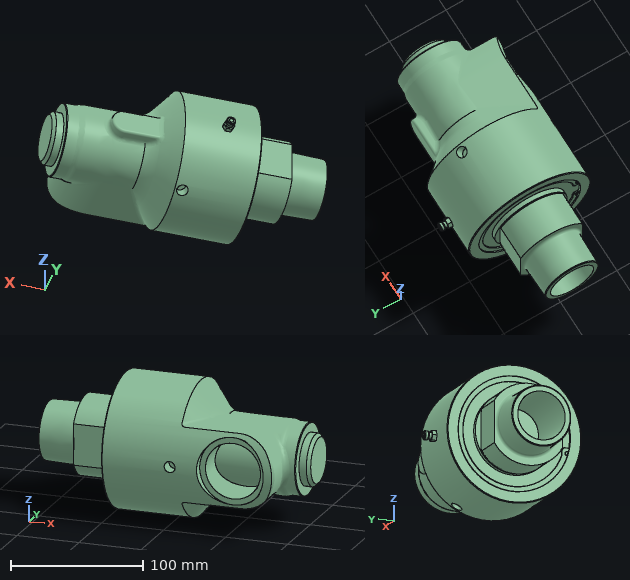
import cadquery as cq

overall_length = 217.5

nipple_end_radius = 23.7
nipple_root_radius = 24.4
nipple_length = 27.5
nipple_chamfer = 0.7
nipple_bore_diameter = 38.0
nipple_bore_depth = 61.0
collar_start = 29.8
collar_diameter = 64.0
collar_flat_width = 54.8
collar_chamfer = 1.0
flange_start = 60.0

drum_start = 61.8
drum_end = 123.0
drum_radius = 54.0
drum_chamfer = 0.7
cone_end = 137.0
cone_end_radius = 37.5
cone_overrun = 17.5
neck_start = 146.8
neck_start_radius = 30.5
neck_end = 194.5
neck_end_radius = 30.0
rim_start = 199.3
rim_end = 209.0
rim_radius = 28.7
rim_chamfer = 0.7
spigot_radius = 20.7
spigot_chamfer = 2.6

face_recess_depth = 2.2
ring_thickness = 1.0
ring_outer_diameter = 90.0
ring_inner_diameter = 81.8
ring_gap_half_width = 7.5
ear_inner_reach = 38.7
ear_half_span = 13.0
ear_corner_radius = 3.0
ear_hole_diameter = 3.0
ear_hole_reach = 42.9
ear_hole_offset = 11.7

block_start = 112.0
block_center = 170.0
block_radius = 30.0
block_fillet = 4.4
block_overrun = 4.4
lip_start = 50.0
lip_taper = 1.0
port_center = 165.3
spotface_diameter = 53.7
spotface_reach = 46.8
port_mouth_diameter = 44.4
port_bore_diameter = 43.3
port_taper_end = 27.8
sleeve_diameter = 53.7

pad_start = 127.3
pad_half_width = 10.2
pad_height = 37.9
pad_top_fillet = 2.2
pad_base_fillet = 4.4

drum_hole_diameter = 8.7
drum_hole_count = 3
drum_hole_center = 116.8
drum_hole_depth = 10.9

grease_center = 89.2
grease_embed = 2.2
grease_hex_diameter = 8.7
grease_hex_height = 3.5
grease_neck_diameter = 5.5
grease_neck_height = 2.2
grease_head_diameter = 7.0
grease_head_flare = 0.9
grease_head_chamfer = 0.7
grease_tip_diameter = 3.3
grease_tip_height = 0.7
grease_top = 64.0

collar_radius = collar_diameter / 2
ring_radius = ring_outer_diameter / 2
face_recess_floor = drum_start + face_recess_depth
ring_start = face_recess_floor - ring_thickness


def cylinder_x(radius, start, end):
    """Cylinder about the main axis between two stations."""
    return cq.Workplane("YZ", origin=(start, 0, 0)).circle(radius).extrude(end - start)


def plane_y(center, start):
    """Work plane at y = start, facing +Y and centered on x = center."""
    return cq.Plane(origin=(center, start, 0), xDir=(1, 0, 0), normal=(0, 1, 0))


def cylinder_y(center, radius, start, end):
    """Cylinder parallel to Y at x = center, from y = start to y = end."""
    return cq.Workplane(plane_y(center, start)).circle(radius).extrude(end - start)


def cone_y(center, start_radius, end_radius, start, end):
    """Frustum parallel to Y at x = center, from y = start to y = end."""
    base = cq.Vector(center, start, 0)
    frustum = cq.Solid.makeCone(start_radius, end_radius, end - start, base, cq.Vector(0, 1, 0))
    return cq.Workplane(obj=frustum)


def bar(x_start, x_end, y_start, y_end, half_height):
    """Rectangular block, symmetric about z = 0."""
    return (
        cq.Workplane("XY")
        .box(x_end - x_start, y_end - y_start, 2 * half_height, centered=(False, False, True))
        .translate((x_start, y_start, 0))
    )


def make_shaft():
    """Nipple, wrench collar with two flats, and flange."""
    root_fillet = collar_start - nipple_length
    shaft = (
        cq.Workplane("XY")
        .moveTo(0, 0)
        .lineTo(0, nipple_end_radius - nipple_chamfer)
        .lineTo(nipple_chamfer, nipple_end_radius)
        .lineTo(nipple_length, nipple_root_radius)
        .radiusArc((collar_start, nipple_root_radius + root_fillet), -root_fillet)
        .lineTo(collar_start, collar_radius)
        .lineTo(flange_start - collar_chamfer, collar_radius)
        .lineTo(flange_start, collar_radius - collar_chamfer)
        .lineTo(flange_start, collar_radius)
        .lineTo(face_recess_floor, collar_radius)
        .lineTo(face_recess_floor, 0)
        .close()
        .revolve(360, (0, 0, 0), (1, 0, 0))
    )
    flat_half_width = collar_flat_width / 2
    for y_start, y_end in ((flat_half_width, collar_radius), (-collar_radius, -flat_half_width)):
        shaft = shaft.cut(bar(collar_start, flange_start, y_start, y_end, collar_radius))
    return shaft


def make_drum():
    """Plain drum with a broken front edge."""
    return cylinder_x(drum_radius, drum_start, drum_end).faces("<X").chamfer(drum_chamfer)


def make_neck():
    """Cone, neck, rim and end spigot; the cone runs on outside the drum radius."""
    cone_slope = (drum_radius - cone_end_radius) / (cone_end - drum_end)
    cone_start = drum_end - cone_overrun
    neck_direction = (neck_end - neck_start, neck_end_radius - neck_start_radius)
    rim_direction = (1, 0)
    return (
        cq.Workplane("XY")
        .moveTo(cone_start, 0)
        .lineTo(cone_start, drum_radius + cone_overrun * cone_slope)
        .lineTo(cone_end, cone_end_radius)
        .tangentArcPoint((neck_start, neck_start_radius), relative=False)
        .lineTo(neck_end, neck_end_radius)
        .spline([(rim_start, rim_radius)], tangents=[neck_direction, rim_direction], includeCurrent=True)
        .lineTo(rim_end - rim_chamfer, rim_radius)
        .lineTo(rim_end, rim_radius - rim_chamfer)
        .lineTo(rim_end, spigot_radius)
        .lineTo(overall_length - spigot_chamfer, spigot_radius)
        .lineTo(overall_length, spigot_radius - spigot_chamfer)
        .lineTo(overall_length, 0)
        .close()
        .revolve(360, (0, 0, 0), (1, 0, 0))
    )


def make_port_block():
    """Round-ended block on the -Y side, with a slightly tapered outer lip."""
    round_end = cylinder_y(block_center, block_radius, -lip_start, 0)
    lip = cone_y(block_center, block_radius - lip_taper, block_radius, -drum_radius, -lip_start)
    straight = bar(block_start, block_center, -drum_radius - block_overrun, 0, block_radius)
    return round_end.union(lip).union(straight)


def make_pad():
    """Round-ended pad on the +Y side of the neck."""
    round_end = cylinder_y(port_center, pad_half_width, 0, pad_height)
    straight = bar(pad_start, port_center, 0, pad_height, pad_half_width)
    return round_end.union(straight).faces(">Y").edges().fillet(pad_top_fillet)


def make_housing():
    """Drum and neck with the port block and pad blended into the neck."""
    neck = make_neck().union(make_port_block())
    block_joint = cq.selectors.BoxSelector(
        (block_start, -lip_start + lip_taper, -block_radius - lip_taper),
        (rim_end, 0, block_radius + lip_taper),
    )
    neck = neck.edges(block_joint).edges("not |Y").fillet(block_fillet)
    neck = neck.intersect(cylinder_x(drum_radius, block_start, overall_length))
    housing = neck.union(make_drum()).union(make_pad())

    pad_joint = cq.selectors.BoxSelector(
        (drum_end, rim_radius - rim_chamfer, -pad_half_width - rim_chamfer),
        (rim_end, pad_height + rim_chamfer, pad_half_width + rim_chamfer),
    )
    return housing.edges(pad_joint).edges("%BSPLINE or %HYPERBOLA").fillet(pad_base_fillet)


def make_grease_nipple():
    """Hexagon, neck and chamfered head standing on the +Y side of the drum."""
    root = drum_radius - grease_embed
    hex_top = drum_radius + grease_hex_height
    hexagon = cq.Workplane(plane_y(grease_center, root)).polygon(6, grease_hex_diameter).extrude(hex_top - root)
    neck_radius = grease_neck_diameter / 2
    head_radius = grease_head_diameter / 2
    head_start = hex_top + grease_neck_height
    head_top = grease_top - grease_tip_height
    head = (
        cq.Workplane("XY", origin=(grease_center, 0, 0))
        .moveTo(0, root)
        .lineTo(neck_radius, root)
        .lineTo(neck_radius, head_start)
        .lineTo(head_radius, head_start + grease_head_flare)
        .lineTo(head_radius, head_top - grease_head_chamfer)
        .lineTo(head_radius - grease_head_chamfer, head_top)
        .lineTo(grease_tip_diameter / 2, head_top)
        .lineTo(0, grease_top)
        .close()
        .revolve(360, (0, 0, 0), (0, 1, 0))
    )
    return hexagon.union(head)


def make_retaining_ring():
    """Open ring with an inward ear and a plier hole on each side of its gap."""
    ring = cylinder_x(ring_radius, ring_start, face_recess_floor)
    ring = ring.cut(cylinder_x(ring_inner_diameter / 2, ring_start, face_recess_floor))

    ears = bar(ring_start, face_recess_floor, -ring_radius, -ear_inner_reach, ear_half_span)
    gap = bar(ring_start, face_recess_floor, -ring_radius, 0, ring_gap_half_width)
    ears = ears.cut(gap)
    inner_corners = cq.selectors.BoxSelector(
        (drum_start, -ear_inner_reach - ear_corner_radius, -ear_half_span + ear_corner_radius),
        (face_recess_floor, 0, ear_half_span - ear_corner_radius),
    )
    ears = ears.edges("|X").edges(inner_corners).fillet(ear_corner_radius)
    ears = ears.intersect(cylinder_x(ring_radius, ring_start, face_recess_floor))

    holes = (
        cq.Workplane("YZ", origin=(ring_start, -ear_hole_reach, 0))
        .pushPoints([(0, -ear_hole_offset), (0, ear_hole_offset)])
        .circle(ear_hole_diameter / 2)
        .extrude(ring_thickness)
    )
    return ring.cut(gap).union(ears).cut(holes)


def make_face_recess():
    """Annular recess in the drum face, less the retaining ring left standing in it."""
    recess = cylinder_x(ring_radius, drum_start, face_recess_floor)
    flange = cylinder_x(collar_radius, drum_start, face_recess_floor)
    return recess.cut(flange).cut(make_retaining_ring())


def make_port_cavity():
    """Spotface and tapered bore, ending on the round inner sleeve."""
    spotface = cylinder_y(port_center, spotface_diameter / 2, -drum_radius, -spotface_reach)
    mouth_radius = port_mouth_diameter / 2
    bore_radius = port_bore_diameter / 2
    mouth = cone_y(port_center, mouth_radius, bore_radius, -spotface_reach, -port_taper_end)
    bore = cylinder_y(port_center, bore_radius, -port_taper_end, 0)
    sleeve = cylinder_x(sleeve_diameter / 2, 0, overall_length)
    return spotface.union(mouth.union(bore).cut(sleeve))


def make_drum_holes():
    """Radial holes evenly spaced around the drum, the first toward -Y."""
    hole = cylinder_y(drum_hole_center, drum_hole_diameter / 2, -drum_radius, drum_hole_depth - drum_radius)
    holes = hole
    for index in range(1, drum_hole_count):
        holes = holes.union(hole.rotate((0, 0, 0), (1, 0, 0), index * 360 / drum_hole_count))
    return holes


housing = make_housing().cut(make_face_recess())
body = housing.union(make_shaft()).union(make_grease_nipple())
nipple_bore = cylinder_x(nipple_bore_diameter / 2, 0, nipple_bore_depth)
result = body.cut(nipple_bore).cut(make_port_cavity()).cut(make_drum_holes())